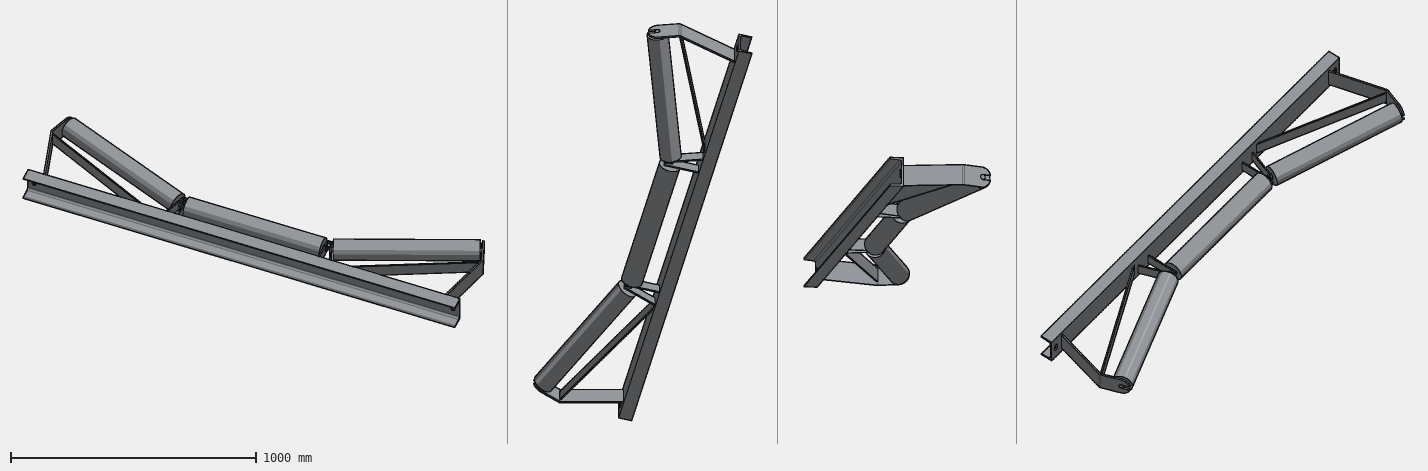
import cadquery as cq
import math


beam_length = 1900.0
beam_height = 120.0
flange_width = 55.0
web_thickness = 7.0
flange_thickness = 9.0
flange_slope = 0.08
root_radius = 9.0
toe_radius = 4.5

mount_slot_inset = 29.0
mount_slot_width = 17.0
mount_slot_height = 35.0

roller_length = 599.0
roller_diameter = 87.0
shaft_diameter = 20.0
end_gap = 8.0
trough_angle = 20.0
forward_tilt = 2.0

outer_thickness = 8.0
outer_height = 84.0
bend_radius = 5.0
bend_y = 250.0
leg_lean = 15.0
tip_setback = 4.0

inner_thickness = 6.0
inner_height = 48.0
inner_top = 145.0

strut_thickness = 6.0
strut_height = 55.0
strut_foot_x = 409.0

wing_x = 624.0
wing_y = 228.0
center_y = 118.0

shaft_length = roller_length + 2 * (end_gap + outer_thickness)
outer_arm_offset = roller_length / 2 + end_gap + outer_thickness / 2
inner_arm_offset = roller_length / 2 + end_gap + inner_thickness / 2
trough_sin = math.sin(math.radians(trough_angle))
trough_cos = math.cos(math.radians(trough_angle))
trough_tan = math.tan(math.radians(trough_angle))
lean_tan = math.tan(math.radians(leg_lean))
inner_drop = roller_length * math.sin(math.radians(forward_tilt))
wing_z = -inner_drop / 2
center_z = -inner_drop

outer_arm_x = -wing_x - outer_arm_offset * trough_cos
outer_arm_y = wing_y + outer_arm_offset * trough_sin
bend_x = outer_arm_x - (outer_arm_y - bend_y) * trough_tan
outer_foot_x = bend_x + bend_y * lean_tan
inner_arm_x = -wing_x + inner_arm_offset * trough_cos
inner_arm_y = wing_y - inner_arm_offset * trough_sin
inner_foot_x = inner_arm_x - inner_arm_y * trough_tan


def make_beam():
    half = beam_height / 2
    web_y = -web_thickness
    taper = flange_slope * flange_width / 2
    root_z = half - flange_thickness - taper + flange_slope * web_thickness
    toe_z = half - flange_thickness + taper
    outline = [
        (0, -half), (-flange_width, -half), (-flange_width, -toe_z), (web_y, -root_z),
        (web_y, root_z), (-flange_width, toe_z), (-flange_width, half), (0, half),
    ]
    beam = cq.Workplane("YZ", origin=(-beam_length / 2, 0, 0)).polyline(outline).close().extrude(beam_length)
    for z in (-root_z, root_z):
        beam = beam.edges(cq.selectors.NearestToPointSelector((0, web_y, z))).fillet(root_radius)
    for z in (-toe_z, toe_z):
        beam = beam.edges(cq.selectors.NearestToPointSelector((0, -flange_width, z))).fillet(toe_radius)
    slot_x = beam_length / 2 - mount_slot_inset
    slots = (
        cq.Workplane("XZ")
        .pushPoints([(-slot_x, 0), (slot_x, 0)])
        .slot2D(mount_slot_height, mount_slot_width, 90)
        .extrude(web_thickness)
    )
    return beam.cut(slots)


def cylinder_along_x(diameter, length):
    return cq.Workplane("YZ", origin=(-length / 2, 0, 0)).circle(diameter / 2).extrude(length)


def make_roller():
    """Roller along X with its shaft, centred on the origin."""
    shell = cylinder_along_x(roller_diameter, roller_length)
    return shell.union(cylinder_along_x(shaft_diameter, shaft_length))


def make_shaft_slots():
    """Round-bottomed slots, open towards +Y, around the two shaft ends of a roller at the origin."""
    reach = shaft_length + 2 * end_gap
    bottom = cylinder_along_x(shaft_diameter, reach)
    throat = cq.Workplane("XY").box(reach, outer_height, shaft_diameter, centered=(True, False, True))
    between_faces = cq.Workplane("XY").box(roller_length, 3 * outer_height, outer_height)
    return bottom.union(throat).cut(between_faces)


def place_center(body):
    return body.translate((0, center_y, center_z))


def place_left_wing(body):
    tilted = body.rotate((0, 0, 0), (0, 1, 0), forward_tilt)
    raised = tilted.rotate((0, 0, 0), (0, 0, 1), -trough_angle)
    return raised.translate((-wing_x, wing_y, wing_z))


def bent_plate(points, thickness, height, middle_z):
    """Plate standing along Z with mitred corners at its centre-line points."""
    half = thickness / 2
    directions = []
    for (x0, y0), (x1, y1) in zip(points, points[1:]):
        length = math.hypot(x1 - x0, y1 - y0)
        directions.append(((x1 - x0) / length, (y1 - y0) / length))
    before = [directions[0]] + directions
    after = directions + [directions[-1]]
    left = []
    right = []
    for (x, y), (ax, ay), (bx, by) in zip(points, before, after):
        share = half / (1 + ax * bx + ay * by)
        shift_x = -(ay + by) * share
        shift_y = (ax + bx) * share
        left.append((x + shift_x, y + shift_y))
        right.append((x - shift_x, y - shift_y))
    base = cq.Workplane("XY", origin=(0, 0, middle_z - height / 2))
    return base.polyline(left + right[::-1]).close().extrude(height)


def trim_to_beam(body):
    """Cut off whatever reaches below the web's back face."""
    waste = cq.Workplane("XY").box(beam_length, flange_width, beam_height, centered=(True, False, True))
    return body.cut(waste.translate((0, -flange_width, 0)))


def make_outer_bracket(wing_slots):
    """Left outer bracket: a leaning leg and an arm parallel to the wing roller's end face."""
    tip_x = outer_arm_x - tip_setback * trough_sin
    tip_y = outer_arm_y - tip_setback * trough_cos
    buried_foot = (outer_foot_x + outer_thickness * lean_tan, -outer_thickness)
    bracket = bent_plate(
        [buried_foot, (bend_x, bend_y), (tip_x, tip_y)], outer_thickness, outer_height, 0
    )
    inside = cq.selectors.NearestToPointSelector((bend_x + outer_thickness, bend_y, 0))
    bracket = bracket.edges(inside).fillet(bend_radius)
    outside = cq.selectors.NearestToPointSelector((bend_x - outer_thickness, bend_y, 0))
    bracket = bracket.edges(outside).fillet(bend_radius + outer_thickness)
    tip = cylinder_along_x(outer_height, outer_thickness)
    tip = tip.rotate((0, 0, 0), (0, 0, 1), -trough_angle).translate((tip_x, tip_y, 0))
    return trim_to_beam(bracket.union(tip)).cut(wing_slots)


def make_inner_bracket(wing_slots, center_slots):
    """Left inner bracket: a leaning leg and an upright leg joined by a short top plate."""
    top_y = inner_top - inner_thickness / 2
    points = [
        (inner_foot_x - inner_thickness * trough_tan, -inner_thickness),
        (inner_foot_x + top_y * trough_tan, top_y),
        (-inner_arm_offset, top_y),
        (-inner_arm_offset, -inner_thickness),
    ]
    bracket = bent_plate(points, inner_thickness, inner_height, center_z)
    return trim_to_beam(bracket).cut(wing_slots).cut(center_slots)


def make_strut(outer_bracket):
    """Left strut, from the bend of the outer bracket down to the beam."""
    slope = bend_y / (-strut_foot_x - bend_x)
    buried_foot = (-strut_foot_x + strut_thickness / slope, -strut_thickness)
    strut = bent_plate([(bend_x, bend_y), buried_foot], strut_thickness, strut_height, 0)
    return trim_to_beam(strut).cut(outer_bracket)


beam = make_beam()
center_roller = place_center(make_roller())
left_wing_roller = place_left_wing(make_roller())
wing_slots = place_left_wing(make_shaft_slots())
left_outer_bracket = make_outer_bracket(wing_slots)
left_inner_bracket = make_inner_bracket(wing_slots, place_center(make_shaft_slots()))
left_strut = make_strut(left_outer_bracket)

bodies = [beam.solids().val(), center_roller.solids().val()]
for left_body in (left_wing_roller, left_outer_bracket, left_inner_bracket, left_strut):
    left_solid = left_body.solids().val()
    bodies.append(left_solid)
    bodies.append(left_solid.mirror("YZ"))

result = cq.Compound.makeCompound(bodies)